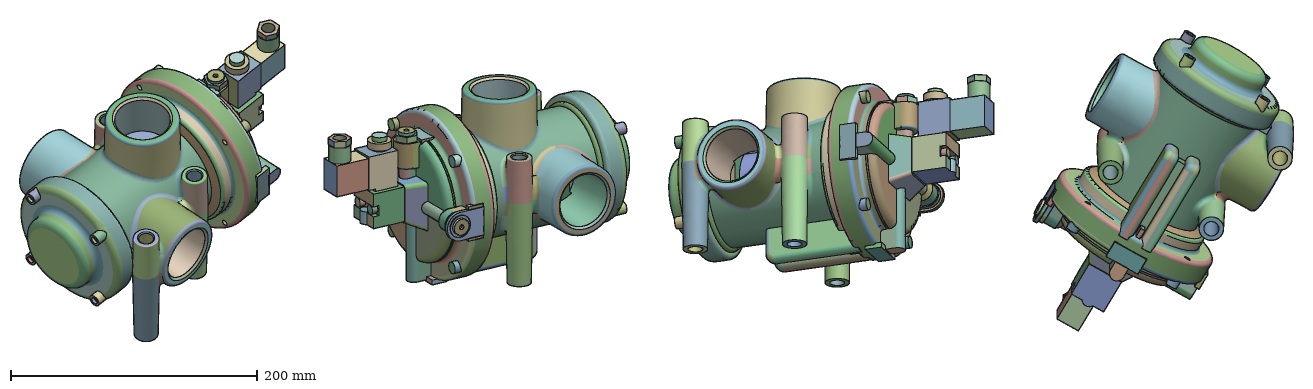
import cadquery as cq
import math


BODY_R = 46.0
PORT_FACE = 79.0
PORT_END_R = 30.3
PORT_ROOT_R = 31.7
PORT_RIM_FILLET = 2.5
PORT_BLEND = 4.3
TOP_PORT_Y = 32.5
BORE_R = 45.0 / 2
BORE_CHAMFER = 2.0
TOP_BORE_DEPTH = 37.5

SIDE_BORE_INNER_R = 20.1
CHAMBER_R = 35
CHAMBER_FRONT = -16
CHAMBER_BACK = 24.2
SPOOL_R = 29.5
SPOOL_NECK_R = 18.8
SPOOL_FRONT = -12.0

COVER_BACK = -37.3
COVER_FRONT = -57.7
COVER_R = 54.8
COVER_FRONT_FILLET = 5.6
COVER_BACK_FILLET = 3.5
NOSE_FRONT = -74.5
NOSE_R = 33.3
NOSE_FILLET = 6.5
NOSE_FOOT_FILLET = 5.5
NECK_FILLET = 3.2
COVER_SCREW_OFFSET = 35
COVER_SCREW_TIP = -64.7
SCREW_D = 10.0
SOCKET_D = 6.0
SOCKET_DEPTH = 2.7

STEP_FRONT = 68.2
STEP_R = 56.0
STEP_FILLET = 2.7
SHOULDER_R = 53.2
SHOULDER_HEIGHT = 3.0
FLANGE_FRONT = 80.5
FLANGE_BACK = 101.8
FLANGE_R = 71.5
FLANGE_FILLET = 3.5
CAP_R = 54.5
CAP_BACK = 115.7
CAP_FILLET = 6.0
CAP_FOOT_FILLET = 2.7
CAP_GROOVE_Y = 109.0
CAP_GROOVE_WIDTH = 1.5
CAP_GROOVE_DEPTH = 0.5
CAP_SCREW_OFFSET = 46.58
CAP_SCREW_TIP = 106.9
FLANGE_HOLE_D = 4.8
FLANGE_HOLE_DEPTH = 5.5

POST_TOP = 37.3
POST_BOTTOM = -72.8
POST_MID_R = 11.15
POST_TOP_R = 10.5
POST_BOTTOM_R = 10.0
POST_HOLE_D = 12.0
POST_HOLE_MOUTH_D = 14.0
POST_CENTERS = [(-47.3, 43), (47.3, 43), (65.8, -36.2)]
POST_RIM_FILLET = 0.8
POST_BLEND = 3.2
WEB_X = (43, 59)
WEB_BACK = -33.3
WEB_HALF_HEIGHT = 10.7

DUCT_X = 10.0
DUCT_WIDTH = 11.8
DUCT_FRONT = 4.3
DUCT_BOTTOM = -71.5
DUCT_TIP_FILLET = 7.0
DUCT_EDGE_FILLET = 4.3
DUCT_WEB_BOTTOM = -57.7
DUCT_WEB_FRONT = 10.7
DUCT_RIB_WIDTH = 3.8
DUCT_RIB_BOTTOM = -68.5
DUCT_RIB_LENGTH = 8

ARM_Y = 114.5
ARM_R = 6.2
RIGHT_ARM_END = 71.5
TAB_FRONT = 91.8
TAB_BACK = 106.0
TAB_HALF_WIDTH = 15.0
TAB_THICKNESS = 4.3
PLATE_R = 12.49
PLATE_OUTER_X = 71.7
PLATE_INNER_X = 68.5
SIDE_NUT_R = 10.5
SIDE_NUT_INNER_X = 64.5
SIDE_BARREL_R = 9.5
SIDE_BARREL_INNER_X = 53.5
SIDE_TAPER_INNER_X = 49.5
DISC_D = 14.0
RECESS_D = 19.0
RECESS_DEPTH = 0.8
SIDE_DISC_X = 73.5
RIGHT_TAB_X = 72.2
PLATE_STEP = 0.8
PLUG_SOCKET_D = 4.0

PLUG_Y = 121.4
PLUG_R = 10.35
PLUG_BOTTOM = 30.5
PLUG_TOP = 53.2
PLUG_BOTTOM_FILLET = 1.3
PLUG_NUT_D = 19.5
PLUG_NUT_TOP = 58.5
PLUG_DISC_TOP = 61.2
PLUG_NECK_R = 6.0
PLUG_FOOT_HALF_WIDTH = 11.8
PLUG_FOOT_BACK = 114.0
PLUG_FOOT_TOP = 55.0

MOUNT_SMALL = (31.7, 20.0, -13.0)
MOUNT_LARGE = (50.5, 22.0, -21.5)
MOUNT_LARGE_Y = 114.0
MOUNT_EDGE_FILLET = 3.2
BLOCK_FRONT = 132.6
BLOCK_BACK = 162.2
BLOCK_WIDTH = 30.3
BLOCK_TOP = 19.0
BLOCK_BOTTOM = -11.3
NOTCH_DEPTH = 5.0
NOTCH_TOP = 7.8
NOTCH_BOTTOM = -0.8
NOTCH_PIN_D = 8
NOTCH_PIN_X = 9.5
BULGE_D = 12.0
BULGE_TIP = 164.9
BULGE_TOP = 0
COIL_FRONT = 136.5
COIL_BACK = 164.0
COIL_WIDTH = 22.0
COIL_TOP = 50.5
COIL_STEP_BACK = 158.0
COIL_STEP_TOP = 21.2
CONNECTOR_BACK = 194.0
CONNECTOR_WIDTH = 20.1
CONNECTOR_TOP = 49.0
CONNECTOR_BOTTOM = 21.7
COIL_NUT_Y = 147.1
COIL_NUT_STEPS = [(14.0, COIL_TOP, 52.4), (19.5, 52.4, 58.5), (12.4, 58.5, 62.5)]
GLAND_D = 18.0
GLAND_TOP = 62.8
GLAND_HEX_D = 19.0
GLAND_HEX_TOP = 68.2
GLAND_HOLE_D = 10.7
GLAND_HOLE_DEPTH = 13.5


def y_rod(x, z, radius, y_from, y_to):
    """Cylinder along Y."""
    plane = cq.Plane(origin=(x, y_from, z), xDir=(0, 0, -1), normal=(0, 1, 0))
    return cq.Workplane(plane).circle(radius).extrude(y_to - y_from)


def z_rod(x, y, radius, z_from, z_to):
    """Cylinder along Z."""
    return cq.Workplane("XY", origin=(x, y, z_from)).circle(radius).extrude(z_to - z_from)


def z_hex(x, y, across_corners, z_from, z_to):
    """Hexagonal prism along Z with two corners on the X direction."""
    return cq.Workplane("XY", origin=(x, y, z_from)).polygon(6, across_corners).extrude(z_to - z_from)


def block(x_range, y_range, z_range):
    """Box between the given limits."""
    sizes = [high - low for low, high in (x_range, y_range, z_range)]
    return cq.Workplane("XY").box(*sizes, centered=False).translate((x_range[0], y_range[0], z_range[0]))


def z_cone(radius_low, radius_high, z_from, z_to):
    """Cone frustum on the Z axis."""
    outline = [(0, z_from), (radius_low, z_from), (radius_high, z_to), (0, z_to)]
    return cq.Workplane("XZ").polyline(outline).close().revolve(360, (0, 0, 0), (0, 1, 0))


def turn_to_side(shape, side):
    """Turn a shape from +Z to the +X (side = 1) or -X (side = -1) direction."""
    return shape.rotate((0, 0, 0), (0, 1, 0), 90 * side)


def rim(shape, radius, y):
    """Circular edge of the given radius around the main axis."""
    tolerance = 0.03
    circles = shape.edges("%CIRCLE")
    return circles.filter(lambda edge: math.hypot(edge.radius() - radius, edge.Center().y - y) < tolerance)


def four_corners(offset):
    return [(sx * offset, sz * offset) for sx in (-1, 1) for sz in (-1, 1)]


def port_tube():
    tube = z_cone(PORT_ROOT_R, PORT_END_R, 0, PORT_FACE)
    return tube.faces(">Z").edges().fillet(PORT_RIM_FILLET)


def port_chamfer_cone():
    return z_cone(BORE_R, BORE_R + BORE_CHAMFER, PORT_FACE - BORE_CHAMFER, PORT_FACE)


def body_with_ports():
    body = y_rod(0, 0, BODY_R, COVER_BACK, STEP_FRONT)
    body = body.union(port_tube().translate((0, TOP_PORT_Y, 0)))
    for side in (-1, 1):
        body = body.union(turn_to_side(port_tube(), side))
    return body.edges("%BSPLINE").fillet(PORT_BLEND)


def cut_bores(body):
    top_bore = z_rod(0, 0, BORE_R, PORT_FACE - TOP_BORE_DEPTH, PORT_FACE).union(port_chamfer_cone())
    body = body.cut(top_bore.translate((0, TOP_PORT_Y, 0)))
    body = body.cut(y_rod(0, 0, CHAMBER_R, CHAMBER_FRONT, CHAMBER_BACK))
    side_bore = z_cone(SIDE_BORE_INNER_R, BORE_R, CHAMBER_R - 5.5, PORT_FACE).union(port_chamfer_cone())
    for side in (-1, 1):
        body = body.cut(turn_to_side(side_bore, side))
    body = body.union(y_rod(0, 0, SPOOL_R, SPOOL_FRONT, CHAMBER_BACK))
    return body.union(y_rod(0, 0, SPOOL_NECK_R, CHAMBER_FRONT, SPOOL_FRONT))


def front_cover():
    disc = y_rod(0, 0, COVER_R, COVER_FRONT, COVER_BACK)
    disc = disc.faces("<Y").edges().fillet(COVER_FRONT_FILLET)
    disc = disc.faces(">Y").edges().fillet(COVER_BACK_FILLET)
    cover = disc.union(y_rod(0, 0, NOSE_R, NOSE_FRONT, COVER_FRONT))
    cover = cover.faces("<Y").edges().fillet(NOSE_FILLET)
    cover = rim(cover, NOSE_R, COVER_FRONT).fillet(NOSE_FOOT_FILLET)
    neck_outline = (
        cq.Workplane("XY")
        .moveTo(0, COVER_BACK)
        .lineTo(BODY_R + NECK_FILLET, COVER_BACK)
        .radiusArc((BODY_R, COVER_BACK + NECK_FILLET), -NECK_FILLET)
        .lineTo(0, COVER_BACK + NECK_FILLET)
        .close()
    )
    return cover.union(neck_outline.revolve(360, (0, 0, 0), (0, 1, 0)))


def add_cover_screws(body):
    for x, z in four_corners(COVER_SCREW_OFFSET):
        body = body.union(y_rod(x, z, SCREW_D / 2, COVER_SCREW_TIP, COVER_BACK - 8))
        body = body.cut(y_rod(x, z, SOCKET_D / 2, COVER_SCREW_TIP, COVER_SCREW_TIP + SOCKET_DEPTH))
    return body


def flange_and_cap():
    outline = [
        (0, STEP_FRONT - SHOULDER_HEIGHT),
        (BODY_R, STEP_FRONT - SHOULDER_HEIGHT),
        (SHOULDER_R, STEP_FRONT),
        (STEP_R, STEP_FRONT),
        (STEP_R, FLANGE_FRONT),
        (FLANGE_R, FLANGE_FRONT),
        (FLANGE_R, FLANGE_BACK),
        (CAP_R, FLANGE_BACK),
        (CAP_R, CAP_BACK),
        (0, CAP_BACK),
    ]
    profile = cq.Workplane("XY").polyline(outline).close().revolve(360, (0, 0, 0), (0, 1, 0))
    for radius, y, fillet in (
        (STEP_R, STEP_FRONT, STEP_FILLET),
        (STEP_R, FLANGE_FRONT, STEP_FILLET),
        (FLANGE_R, FLANGE_FRONT, FLANGE_FILLET),
        (FLANGE_R, FLANGE_BACK, FLANGE_FILLET),
        (CAP_R, FLANGE_BACK, CAP_FOOT_FILLET),
        (CAP_R, CAP_BACK, CAP_FILLET),
    ):
        profile = rim(profile, radius, y).fillet(fillet)
    groove_ring = y_rod(0, 0, CAP_R + 2.7, CAP_GROOVE_Y - CAP_GROOVE_WIDTH, CAP_GROOVE_Y)
    groove_core = y_rod(0, 0, CAP_R - CAP_GROOVE_DEPTH, CAP_GROOVE_Y - CAP_GROOVE_WIDTH, CAP_GROOVE_Y)
    return profile.cut(groove_ring.cut(groove_core))


def add_cap_screws_and_holes(body):
    for x, z in four_corners(CAP_SCREW_OFFSET):
        body = body.union(y_rod(x, z, SCREW_D / 2, FLANGE_BACK - 5.5, CAP_SCREW_TIP))
        body = body.cut(y_rod(x, z, FLANGE_HOLE_D / 2, FLANGE_FRONT, FLANGE_FRONT + FLANGE_HOLE_DEPTH))
    return body


def post():
    """Post on the Z axis, tapering both ways from the main axis level."""
    upper = z_cone(POST_MID_R, POST_TOP_R, 0, POST_TOP).faces(">Z").edges().fillet(POST_RIM_FILLET)
    lower = z_cone(POST_BOTTOM_R, POST_MID_R, POST_BOTTOM, 0)
    return upper.union(lower).rotate((0, 0, 0), (0, 0, 1), 90)


def add_post(body, x, y):
    """Join a post to the body and round the curves where they meet."""
    body = body.union(post().translate((x, y, 0)))
    reach = POST_MID_R + 3.8
    near_post = cq.selectors.BoxSelector((x - reach, y - reach, -35), (x + reach, y + reach, 35))
    return body.edges("%BSPLINE").edges(near_post).fillet(POST_BLEND)


def front_post_web():
    z_range = (-WEB_HALF_HEIGHT, WEB_HALF_HEIGHT)
    return block(WEB_X, (COVER_BACK - 2.7, WEB_BACK), z_range)


def post_hole():
    mouth_depth = (POST_HOLE_MOUTH_D - POST_HOLE_D) / 2
    hole = z_rod(0, 0, POST_HOLE_D / 2, POST_BOTTOM, POST_TOP)
    return hole.union(z_cone(POST_HOLE_D / 2, POST_HOLE_MOUTH_D / 2, POST_TOP - mouth_depth, POST_TOP))


def twin_duct():
    web = block((-DUCT_X, DUCT_X), (DUCT_WEB_FRONT, FLANGE_FRONT + 2.7), (DUCT_WEB_BOTTOM, -BODY_R + 5.5))
    rib_y = (FLANGE_FRONT - DUCT_RIB_LENGTH, FLANGE_FRONT + 2.7)
    half_rib = DUCT_RIB_WIDTH / 2
    duct = web.union(block((-half_rib, half_rib), rib_y, (DUCT_RIB_BOTTOM, DUCT_WEB_BOTTOM + 2.7)))
    for side in (-1, 1):
        x_mid = side * DUCT_X
        x_range = (x_mid - DUCT_WIDTH / 2, x_mid + DUCT_WIDTH / 2)
        tube = block(x_range, (DUCT_FRONT, FLANGE_FRONT + 5.5), (DUCT_BOTTOM, -BODY_R + 8))
        tube = tube.edges("<Y and <Z").fillet(DUCT_TIP_FILLET)
        lower_rims = tube.faces("<X or >X").edges("not(>Y or >Z)")
        tube = lower_rims.fillet(DUCT_EDGE_FILLET)
        duct = duct.union(tube)
    return duct


def arm(end):
    """Round-backed duct pointing along +Z; its flat flanks run forward into the flange."""
    return flanked_rod(ARM_R, 0, end)


def flange_tab(outer):
    """Flat tab along +Z lying over the flange rim."""
    return block(
        (-TAB_HALF_WIDTH, TAB_HALF_WIDTH), (TAB_FRONT, TAB_BACK), (outer - TAB_THICKNESS, outer)
    )


def flanked_rod(radius, z_from, z_to):
    """Round-backed boss along +Z with flat flanks reaching forward into the flange."""
    flanks = block((-radius, radius), (FLANGE_BACK - 2.7, ARM_Y), (z_from, z_to))
    return z_rod(0, ARM_Y, radius, z_from, z_to).union(flanks)


def right_and_bottom_arms():
    right = arm(RIGHT_ARM_END).union(flange_tab(RIGHT_TAB_X))
    bottom = arm(-DUCT_BOTTOM).union(flange_tab(-POST_BOTTOM))
    return turn_to_side(right, 1).union(bottom.rotate((0, 0, 0), (0, 1, 0), 180))


def left_plug():
    plug = arm(SIDE_TAPER_INNER_X)
    taper = z_cone(ARM_R, SIDE_BARREL_R, SIDE_TAPER_INNER_X, SIDE_BARREL_INNER_X)
    plug = plug.union(taper.translate((0, ARM_Y, 0)))
    plug = plug.union(flanked_rod(SIDE_BARREL_R, SIDE_BARREL_INNER_X, SIDE_NUT_INNER_X))
    plug = plug.union(flanked_rod(SIDE_NUT_R, SIDE_NUT_INNER_X, PLATE_INNER_X))
    plate = z_rod(0, ARM_Y, PLATE_R, PLATE_INNER_X, PLATE_OUTER_X)
    plate = plate.union(block((-PLATE_R, PLATE_R), (TAB_FRONT, ARM_Y), (PLATE_INNER_X, PLATE_OUTER_X)))
    plug = plug.union(plate).union(flange_tab(PLATE_OUTER_X - PLATE_STEP))
    recess_floor = PLATE_OUTER_X - RECESS_DEPTH
    plug = plug.cut(z_rod(0, ARM_Y, RECESS_D / 2, recess_floor, PLATE_OUTER_X))
    plug = plug.union(z_rod(0, ARM_Y, DISC_D / 2, recess_floor, SIDE_DISC_X))
    plug = plug.cut(z_rod(0, ARM_Y, PLUG_SOCKET_D / 2, SIDE_DISC_X - SOCKET_DEPTH, SIDE_DISC_X))
    return turn_to_side(plug, -1)


def top_plug():
    plug = z_rod(0, PLUG_Y, PLUG_R, PLUG_BOTTOM, PLUG_TOP).faces("<Z").edges().fillet(PLUG_BOTTOM_FILLET)
    foot_x = (-PLUG_FOOT_HALF_WIDTH, PLUG_FOOT_HALF_WIDTH)
    plug = plug.union(block(foot_x, (FLANGE_BACK, PLUG_FOOT_BACK), (PLUG_BOTTOM, PLUG_FOOT_TOP)))
    plug = plug.union(block((-PLUG_R, PLUG_R), (FLANGE_BACK, PLUG_Y), (PLUG_BOTTOM, PLUG_TOP)))
    plug = plug.union(z_rod(0, PLUG_Y, PLUG_NECK_R, MOUNT_SMALL[2], PLUG_BOTTOM))
    neck_x = (-PLUG_NECK_R, PLUG_NECK_R)
    plug = plug.union(block(neck_x, (FLANGE_BACK, PLUG_Y), (MOUNT_SMALL[1], PLUG_BOTTOM)))
    nut = z_hex(0, PLUG_Y, PLUG_NUT_D, PLUG_TOP, PLUG_NUT_TOP).rotate(
        (0, PLUG_Y, 0), (0, PLUG_Y, 1), 90
    )
    plug = plug.union(nut)
    plug = plug.union(z_rod(0, PLUG_Y, DISC_D / 2, PLUG_NUT_TOP, PLUG_DISC_TOP))
    return plug.cut(z_rod(0, PLUG_Y, PLUG_SOCKET_D / 2, PLUG_DISC_TOP - SOCKET_DEPTH, PLUG_DISC_TOP))


def mount_wire(plane_y, size):
    width, top, bottom = size
    plane = cq.Plane(origin=(0, plane_y, (top + bottom) / 2), xDir=(1, 0, 0), normal=(0, -1, 0))
    return cq.Workplane(plane).rect(width, top - bottom).wires().val()


def pilot_mount():
    wires = [mount_wire(BLOCK_FRONT, MOUNT_SMALL), mount_wire(MOUNT_LARGE_Y, MOUNT_LARGE)]
    mount = cq.Workplane(cq.Solid.makeLoft(wires, True))
    return mount.edges("not(#Y)").fillet(MOUNT_EDGE_FILLET)


def pilot_block():
    half = BLOCK_WIDTH / 2
    notch_front = BLOCK_BACK - NOTCH_DEPTH
    body = block((-half, half), (BLOCK_FRONT, BLOCK_BACK), (BLOCK_BOTTOM, BLOCK_TOP))
    body = body.cut(block((-half, half), (notch_front, BLOCK_BACK), (NOTCH_BOTTOM, NOTCH_TOP)))
    pin_z = (NOTCH_BOTTOM + NOTCH_TOP) / 2
    for side in (-1, 1):
        body = body.union(y_rod(side * NOTCH_PIN_X, pin_z, NOTCH_PIN_D / 2, notch_front - 2.7, BLOCK_BACK))
    return body.union(z_rod(0, BULGE_TIP - BULGE_D / 2, BULGE_D / 2, BLOCK_BOTTOM, BULGE_TOP))


def solenoid():
    half = COIL_WIDTH / 2
    coil = block((-half, half), (COIL_FRONT, COIL_BACK), (BLOCK_TOP, COIL_TOP))
    coil = coil.cut(block((-half, half), (COIL_STEP_BACK, COIL_BACK), (BLOCK_TOP, COIL_STEP_TOP)))
    for diameter, bottom, top in COIL_NUT_STEPS:
        coil = coil.union(z_rod(0, COIL_NUT_Y, diameter / 2, bottom, top))
    return coil


def connector():
    half = CONNECTOR_WIDTH / 2
    gland_y = CONNECTOR_BACK - GLAND_D / 2
    shell = block((-half, half), (COIL_BACK, CONNECTOR_BACK), (CONNECTOR_BOTTOM, CONNECTOR_TOP))
    shell = shell.union(z_rod(0, gland_y, GLAND_D / 2, CONNECTOR_TOP, GLAND_TOP))
    shell = shell.union(z_hex(0, gland_y, GLAND_HEX_D, GLAND_TOP, GLAND_HEX_TOP))
    return shell.cut(z_rod(0, gland_y, GLAND_HOLE_D / 2, GLAND_HEX_TOP - GLAND_HOLE_DEPTH, GLAND_HEX_TOP))


valve = body_with_ports()
for x, y in POST_CENTERS:
    valve = add_post(valve, x, y)
valve = valve.union(twin_duct()).union(front_post_web())
valve = cut_bores(valve)
for x, y in POST_CENTERS:
    valve = valve.cut(post_hole().translate((x, y, 0)))

rear = add_cap_screws_and_holes(flange_and_cap())
for attachment in (
    right_and_bottom_arms(),
    left_plug(),
    pilot_mount(),
    top_plug(),
    pilot_block(),
    solenoid(),
    connector(),
):
    rear = rear.union(attachment)

result = valve.union(add_cover_screws(front_cover())).union(rear)